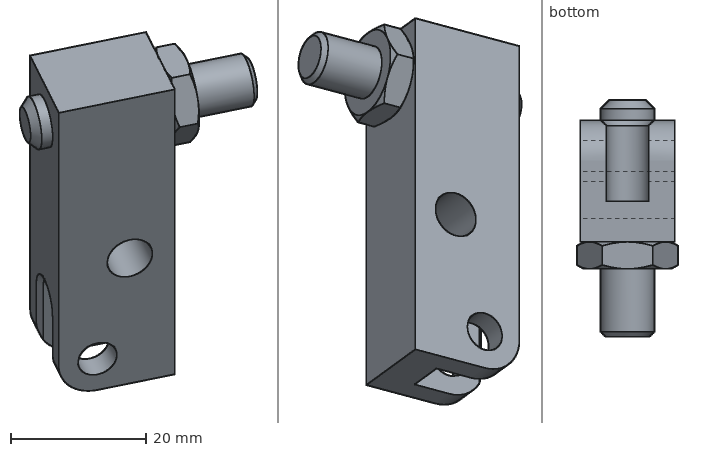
import cadquery as cq
import math

block_width = 14.0
block_depth = 18.0
block_height = 54.5
toe_radius = 6.0

pivot_diameter = 6.0
link_diameter = 7.0
link_setback = 11.0
link_height = 24.0

slot_width = 6.2
slot_depth = 2 * toe_radius
slot_arc_height = 13.25
slot_chamfer = 0.8

stud_diameter = 8.0
stud_height = block_height - block_width / 2
stud_front_length = 3.0
stud_rear_length = 14.0
front_chamfer = 1.3
rear_chamfer = 0.75
nut_corners = 15.0
nut_thickness = 4.0
nut_chamfer_angle = 30.0


def make_block():
    block = cq.Workplane("XY").box(block_width, block_depth, block_height, centered=(True, False, False))
    return block.edges("|X and <Y and <Z").fillet(toe_radius)


def cross_hole(diameter, setback, height):
    """Cylinder running through the full block width."""
    return (
        cq.Workplane("YZ")
        .center(setback, height)
        .circle(diameter / 2)
        .extrude(block_width, both=True)
    )


def slot_outline(half_width):
    """Round-topped slot profile on the front face, open at the bottom."""
    return (
        cq.Workplane("XZ")
        .moveTo(-half_width, 0)
        .lineTo(-half_width, slot_arc_height)
        .threePointArc((0, slot_arc_height + half_width), (half_width, slot_arc_height))
        .lineTo(half_width, 0)
        .close()
    )


def make_slot():
    """Blind slot with a 45 degree chamfer around its front mouth."""
    slot = slot_outline(slot_width / 2).extrude(-slot_depth)
    mouth = slot_outline(slot_width / 2 + slot_chamfer).extrude(-slot_chamfer, taper=45)
    return slot.union(mouth)


def make_stud():
    """Chamfered stud passing through the block, built from front to rear."""
    length = stud_front_length + block_depth + stud_rear_length
    return (
        cq.Workplane("XZ", origin=(0, -stud_front_length, stud_height))
        .circle(stud_diameter / 2)
        .extrude(-length)
        .faces("<Y")
        .chamfer(front_chamfer)
        .faces(">Y")
        .chamfer(rear_chamfer)
    )


def make_nut():
    """Hexagonal nut with corners on X and conical chamfers on both faces."""
    corner_radius = nut_corners / 2
    flat_radius = corner_radius * math.cos(math.pi / 6)
    chamfer_length = (corner_radius - flat_radius) * math.tan(math.radians(nut_chamfer_angle))
    plane = cq.Workplane("XZ", origin=(0, block_depth, stud_height))
    hexagon = plane.polygon(6, nut_corners).extrude(-nut_thickness)
    envelope = (
        plane.circle(corner_radius)
        .extrude(-nut_thickness)
        .faces("<Y or >Y")
        .edges()
        .chamfer(chamfer_length, corner_radius - flat_radius)
    )
    return hexagon.intersect(envelope)


body = make_block().cut(make_slot())
body = body.cut(cross_hole(pivot_diameter, toe_radius, toe_radius))
body = body.cut(cross_hole(link_diameter, link_setback, link_height))
result = body.union(make_stud()).union(make_nut())